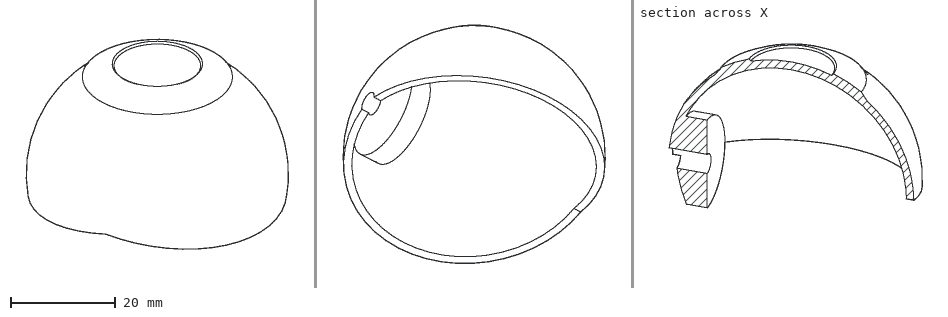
import cadquery as cq
import math

outer_radius = 25.0
wall_thickness = 1.6
inner_radius = outer_radius - wall_thickness

iris_base_radius = 15.5
iris_edge_radius = 14.3
iris_sphere_radius = 25.7
pupil_rim_radius = 8.6
pupil_radius = 8.25
pupil_sphere_radius = 25.2

rim_angle = 10.0
rim_reach = 2 * outer_radius

tab_diameter = 19.0
tab_inner_y = 17.1
pivot_diameter = 4.0


def height_on_sphere(sphere_radius, radius):
    """Z of a sphere centred on the origin at a distance from the Z axis."""
    return math.sqrt(sphere_radius**2 - radius**2)


def point_on_sphere(sphere_radius, radius):
    return (radius, height_on_sphere(sphere_radius, radius))


def arc_middle(sphere_radius, start_radius, end_radius):
    return point_on_sphere(sphere_radius, (start_radius + end_radius) / 2)


def make_eyeball():
    """Solid of revolution: full ball with the iris ring and the pupil dome."""
    profile = (
        cq.Workplane("XZ")
        .moveTo(0, -outer_radius)
        .threePointArc((outer_radius, 0), point_on_sphere(outer_radius, iris_base_radius))
        .lineTo(*point_on_sphere(iris_sphere_radius, iris_edge_radius))
        .threePointArc(
            arc_middle(iris_sphere_radius, iris_edge_radius, pupil_rim_radius),
            point_on_sphere(iris_sphere_radius, pupil_rim_radius),
        )
        .lineTo(*point_on_sphere(pupil_sphere_radius, pupil_radius))
        .threePointArc(
            arc_middle(pupil_sphere_radius, pupil_radius, 0),
            (0, pupil_sphere_radius),
        )
        .close()
    )
    return profile.revolve(360, (0, 0, 0), (0, 1, 0))


def make_rim_cutter():
    """Everything below the two sloping rim planes."""
    rim_drop = rim_reach * math.tan(math.radians(rim_angle))
    outline = [
        (0, 0),
        (rim_reach, -rim_drop),
        (rim_reach, -rim_reach),
        (-rim_reach, -rim_reach),
        (-rim_reach, -rim_drop),
    ]
    return cq.Workplane("XZ").polyline(outline).close().extrude(rim_reach, both=True)


def cylinder_along_y(diameter, start_y):
    """Cylinder about the Y axis running from start_y out past the +Y wall."""
    length = rim_reach - start_y
    return cq.Workplane("XZ", origin=(0, start_y, 0)).circle(diameter / 2).extrude(-length)


cavity = cq.Workplane("XY").sphere(inner_radius)
tab = cylinder_along_y(tab_diameter, tab_inner_y).intersect(cavity)
pivot_hole = cylinder_along_y(pivot_diameter, 0)

shell = make_eyeball().cut(make_rim_cutter()).cut(cavity)
result = shell.union(tab).cut(pivot_hole)